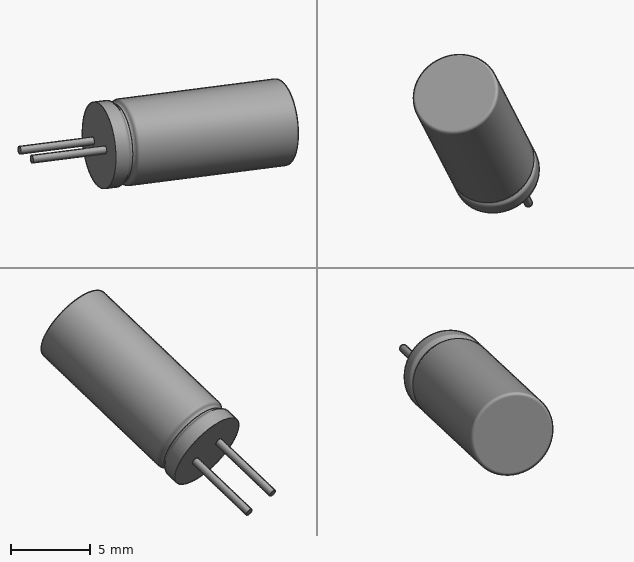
import cadquery as cq
import math

case_diameter = 5.5
case_length = 12.5
lead_diameter = 0.5
lead_length = 5.0
lead_pitch = 2.0
end_round = 0.2

groove_radius = 0.25
groove_from_base = 1.25

case_radius = case_diameter / 2
seal_face_y = -case_length / 2
closed_end_y = seal_face_y + case_length
throat_y = seal_face_y + groove_from_base
throat_radius = case_radius - groove_radius

lip_sweep = math.acos(groove_radius / (2 * groove_radius))
lip_reach = 2 * groove_radius * math.sin(lip_sweep)


def add_half_groove(profile, side):
    """From the throat, draw the bead arc and the lip arc up to the wall; side is +1 or -1 along Y."""
    bead_middle = (
        case_radius - groove_radius * math.cos(lip_sweep / 2),
        throat_y + side * groove_radius * math.sin(lip_sweep / 2),
    )
    bead_end = (case_radius - groove_radius / 2, throat_y + side * lip_reach / 2)
    lip_middle = (
        throat_radius + groove_radius * math.cos(lip_sweep / 2),
        throat_y + side * (lip_reach - groove_radius * math.sin(lip_sweep / 2)),
    )
    lip_end = (case_radius, throat_y + side * lip_reach)
    return profile.threePointArc(bead_middle, bead_end).threePointArc(lip_middle, lip_end)


def revolve_from_throat(side, end_y):
    """Solid of revolution about Y from the groove throat to a flat end."""
    profile = cq.Workplane("XY").moveTo(0, throat_y).lineTo(throat_radius, throat_y)
    profile = add_half_groove(profile, side)
    profile = profile.lineTo(case_radius, end_y).lineTo(0, end_y).close()
    return profile.revolve(360, (0, 0, 0), (0, 1, 0))


def make_can():
    """Main can, from the groove throat to the rounded closed end."""
    return revolve_from_throat(1, closed_end_y).faces(">Y").edges().fillet(end_round)


def make_base():
    """Base that closes the can, from the groove throat to the flat face carrying the leads."""
    return revolve_from_throat(-1, seal_face_y)


def make_lead(x):
    """Round lead wire standing on the base face."""
    face = cq.Workplane("XZ", origin=(x, seal_face_y, 0))
    return face.circle(lead_diameter / 2).extrude(lead_length)


can = make_can()
base = make_base()
leads = [make_lead(side * lead_pitch / 2) for side in (-1, 1)]

result = cq.Compound.makeCompound([can.val(), base.val(), *[lead.val() for lead in leads]])